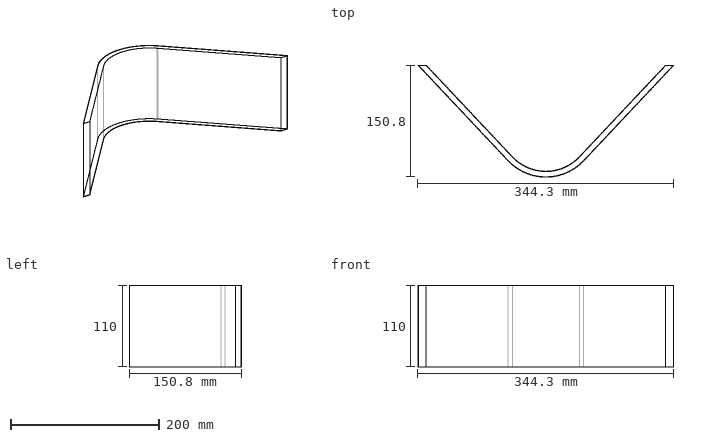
import cadquery as cq
import math

width = 344.3
depth = 150.8
height = 110.0
thickness = 8.0
outer_radius = 70.0

inner_radius = outer_radius - thickness

center_y = outer_radius
tip_x = width / 2
tip_rise = depth - center_y

tip_distance = math.hypot(tip_x, tip_rise)
tip_angle = math.atan2(tip_rise, tip_x)
tangent_angle = tip_angle - math.acos(outer_radius / tip_distance)

inner_tip_x = tip_x - thickness / math.cos(tangent_angle)


def tangent_point(radius, side):
    """Point where the bend meets the arm on the given side (+1 or -1 in X)."""
    return (
        side * radius * math.cos(tangent_angle),
        center_y + radius * math.sin(tangent_angle),
    )


profile = (
    cq.Workplane("XY")
    .moveTo(-tip_x, depth)
    .lineTo(*tangent_point(outer_radius, -1))
    .threePointArc((0, center_y - outer_radius), tangent_point(outer_radius, 1))
    .lineTo(tip_x, depth)
    .lineTo(inner_tip_x, depth)
    .lineTo(*tangent_point(inner_radius, 1))
    .threePointArc((0, center_y - inner_radius), tangent_point(inner_radius, -1))
    .lineTo(-inner_tip_x, depth)
    .close()
)

result = profile.extrude(height)